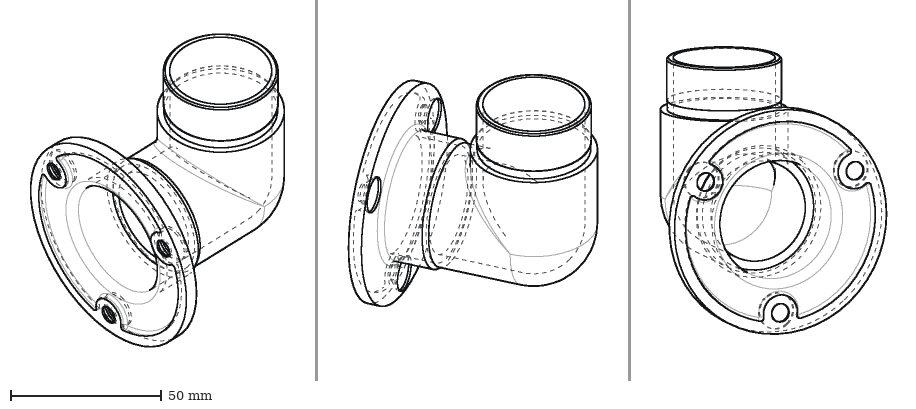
import cadquery as cq
import math

overall_height = 84.5
overall_depth = 72.4

elbow_radius = 21.2
bore_radius = 17.0
crotch_fillet = 2.0

flange_radius = 76.0 / 2
flange_thickness = 4.65
flange_face = overall_depth - elbow_radius
flange_back = flange_face - flange_thickness
collar_radius = 22.3
collar_start = 29.2
collar_taper = 1.9
collar_fillet = 1.9

spigot_top = overall_height - flange_radius
shoulder_height = 29.0
spigot_radius = 38.3 / 2
relief_radius = 37.9 / 2
relief_length = 3.1
spigot_chamfer = 0.6

socket_radius = 40.0 / 2
socket_bottom = 30.7
socket_mouth_fillet = 2.95

recess_radius = 34.0
recess_depth = 1.95
recess_floor_fillet = 1.0
recess_corner_radius = 1.1
pad_radius = 6.1

hole_radius = 6.2 / 2
hole_land = 0.8
countersink_radius = 6.1
countersink_depth = countersink_radius - hole_radius
hole_circle_radius = 30.85
hole_angles = (30, 150, 270)


def rod_along_arm(radius, start, end):
    """Cylinder on the -Y axis between two distances from the origin."""
    return cq.Workplane("XZ").workplane(offset=start).circle(radius).extrude(end - start)


def elbow_solid(radius, up, out):
    """Two crossing round arms with a spherical heel."""
    upright = cq.Workplane("XY").circle(radius).extrude(up)
    return upright.union(rod_along_arm(radius, 0, out)).union(cq.Workplane("XY").sphere(radius))


def outer_elbow():
    """Solid elbow with the inside corner between the arms rounded."""
    elbow = elbow_solid(elbow_radius, shoulder_height, flange_back)
    inside_corner = cq.selectors.NearestToPointSelector((0, -elbow_radius, elbow_radius))
    return elbow.edges(inside_corner).fillet(crotch_fillet)


def spigot():
    """Reduced tube end: a short relief neck, then a sleeve with a chamfered tip."""
    relief = cq.Workplane("XY").workplane(offset=shoulder_height)
    relief = relief.circle(relief_radius).extrude(relief_length)
    sleeve_start = shoulder_height + relief_length
    sleeve = cq.Workplane("XY").workplane(offset=sleeve_start).circle(spigot_radius)
    sleeve = sleeve.extrude(spigot_top - sleeve_start).faces(">Z").edges().chamfer(spigot_chamfer)
    return relief.union(sleeve)


def arc_middle(radius):
    """Distance of a quarter-round's middle point from each of the two faces it joins."""
    return radius * (1 - math.sqrt(0.5))


def collar_and_flange():
    """Profile of radius against -Y distance, turned about the Y axis."""
    fillet_edge = collar_radius + collar_fillet
    fillet_mid = arc_middle(collar_fillet)
    profile = (
        cq.Workplane("XY")
        .moveTo(0, -collar_start)
        .lineTo(elbow_radius, -collar_start)
        .lineTo(collar_radius, -collar_start - collar_taper)
        .lineTo(collar_radius, -flange_back + collar_fillet)
        .threePointArc((collar_radius + fillet_mid, -flange_back + fillet_mid), (fillet_edge, -flange_back))
        .lineTo(flange_radius, -flange_back)
        .lineTo(flange_radius, -flange_face)
        .lineTo(0, -flange_face)
        .close()
    )
    return profile.revolve(360, (0, 0, 0), (0, 1, 0))


def hole_positions():
    """X and Z places of the screw holes on their circle."""
    angles = [math.radians(angle) for angle in hole_angles]
    return [(hole_circle_radius * math.cos(a), hole_circle_radius * math.sin(a)) for a in angles]


def recess():
    """Shallow pocket around the socket, scalloped by the pads and rounded at its floor."""
    floor = flange_face - recess_depth
    pocket = rod_along_arm(recess_radius, floor, flange_face)
    pads = (
        cq.Workplane("XZ")
        .workplane(offset=floor)
        .pushPoints(hole_positions())
        .circle(pad_radius)
        .extrude(recess_depth)
    )
    pocket = pocket.cut(pads).edges("|Y").fillet(recess_corner_radius)
    return pocket.faces(">Y").edges().fillet(recess_floor_fillet)


def socket():
    """Bore for the tube, flared at the recess floor by a rounded mouth."""
    floor = flange_face - recess_depth
    mid = arc_middle(socket_mouth_fillet)
    profile = (
        cq.Workplane("XY")
        .moveTo(0, -socket_bottom)
        .lineTo(socket_radius, -socket_bottom)
        .lineTo(socket_radius, -floor + socket_mouth_fillet)
        .threePointArc((socket_radius + mid, -floor + mid), (socket_radius + socket_mouth_fillet, -floor))
        .lineTo(0, -floor)
        .close()
    )
    return profile.revolve(360, (0, 0, 0), (0, 1, 0))


def screw_holes():
    """Short straight hole, 45 degree cone, then a straight stretch out to the flange back."""
    cone_start = flange_face - hole_land
    cone_end = cone_start - countersink_depth
    profile = (
        cq.Workplane("XY")
        .moveTo(0, -flange_face)
        .lineTo(hole_radius, -flange_face)
        .lineTo(hole_radius, -cone_start)
        .lineTo(countersink_radius, -cone_end)
        .lineTo(countersink_radius, -flange_back)
        .lineTo(0, -flange_back)
        .close()
    )
    hole = profile.revolve(360, (0, 0, 0), (0, 1, 0))
    holes = cq.Workplane("XY")
    for x, z in hole_positions():
        holes = holes.add(hole.translate((x, 0, z)))
    return holes.combine()


result = (
    outer_elbow()
    .union(spigot())
    .union(collar_and_flange())
    .cut(elbow_solid(bore_radius, spigot_top, flange_face))
    .cut(socket())
    .cut(recess())
    .cut(screw_holes())
)